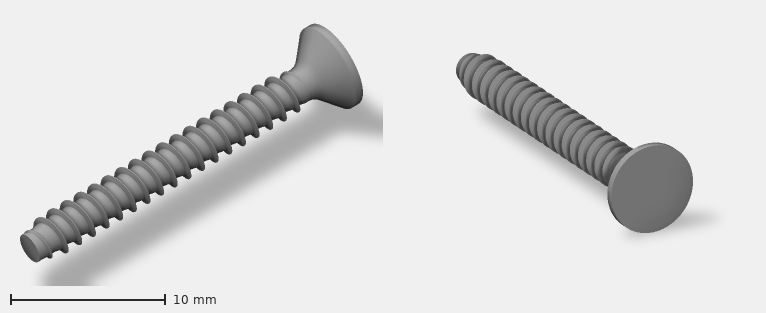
import cadquery as cq
import math

screw_length = 25.0

head_radius = 3.0
rim_depth = 0.55
countersink_angle = math.radians(45)
neck_fillet = 1.25

neck_radius = 1.18
neck_length = 0.22
core_radius = 1.02
taper_length = 0.75

major_radius = 1.5
first_crest_depth = 4.28
last_crest_depth = 23.3
turns_between_crests = 17
pitch = (last_crest_depth - first_crest_depth) / turns_between_crests

crest_half_width = 0.02
base_half_width = 0.15
base_radius = 1.12
head_slope_reach = 0.35
tip_slope_reach = pitch - head_slope_reach
embed = 0.012
fade_depth = 0.05
root_radius = 0.9

thread_form = [
    (-head_slope_reach, root_radius),
    (-head_slope_reach, core_radius - embed),
    (-base_half_width, base_radius),
    (-crest_half_width, major_radius),
    (crest_half_width, major_radius),
    (base_half_width, base_radius),
    (tip_slope_reach - embed, core_radius - embed),
    (tip_slope_reach - embed, root_radius),
]

full_start = -0.25
full_end = turns_between_crests
run_in_turns = 1.0
run_out_turns = 1.5
thread_start = full_start - run_in_turns
thread_end = full_end + run_out_turns
points_per_turn = 24


def make_body():
    """Head and shank, revolved about the Y axis."""
    fillet_start_radius = neck_radius + neck_fillet * (1 - math.cos(countersink_angle))
    fillet_start = rim_depth + (head_radius - fillet_start_radius) / math.tan(countersink_angle)
    fillet_end = fillet_start + neck_fillet * math.sin(countersink_angle)
    half_angle = countersink_angle / 2
    fillet_mid_radius = neck_radius + neck_fillet * (1 - math.cos(half_angle))
    fillet_mid = fillet_end - neck_fillet * math.sin(half_angle)
    neck_end = fillet_end + neck_length

    return (
        cq.Workplane("XY")
        .lineTo(head_radius, 0)
        .lineTo(head_radius, -rim_depth)
        .lineTo(fillet_start_radius, -fillet_start)
        .threePointArc((fillet_mid_radius, -fillet_mid), (neck_radius, -fillet_end))
        .lineTo(neck_radius, -neck_end)
        .lineTo(core_radius, -(neck_end + taper_length))
        .lineTo(core_radius, -screw_length)
        .lineTo(0, -screw_length)
        .close()
        .revolve(360, (0, 0, 0), (0, 1, 0))
    )


def faded_radius(radius, turn):
    """Radius of a thread form point, fading evenly into the shank along the run-in and run-out."""
    if turn < full_start:
        share = (full_start - turn) / run_in_turns
        faded = min(radius, neck_radius - fade_depth)
    elif turn > full_end:
        share = (turn - full_end) / run_out_turns
        faded = min(radius, core_radius - fade_depth)
    else:
        return radius
    return radius + share * (faded - radius)


def helix_point(turn, offset, radius):
    """Point on the helix; the turn runs from +Z through -X while moving towards the tip."""
    angle = 2 * math.pi * turn
    depth = first_crest_depth + pitch * turn + offset
    point_radius = faded_radius(radius, turn)
    return cq.Vector(-point_radius * math.sin(angle), -depth, point_radius * math.cos(angle))


def helix_edge(start, end, offset, radius):
    """Smooth edge that follows one thread form point between two turns."""
    steps = math.ceil((end - start) * points_per_turn)
    turns = [start + (end - start) * step / steps for step in range(steps + 1)]
    return cq.Edge.makeSpline([helix_point(turn, offset, radius) for turn in turns])


def make_span_faces(start, end):
    """Helical faces of the thread between two turns, one per side of the thread form."""
    edges = [helix_edge(start, end, offset, radius) for offset, radius in thread_form]
    next_edges = edges[1:] + edges[:1]
    return [cq.Face.makeRuledSurface(edge, follower) for edge, follower in zip(edges, next_edges)]


def make_end_cap(turn):
    """Flat face that closes the thread at one end."""
    corners = [helix_point(turn, offset, radius) for offset, radius in thread_form]
    return cq.Face.makeFromWires(cq.Wire.makePolygon(corners, close=True))


def make_thread():
    """Whole thread as one solid, with its full-height faces split at every turn."""
    full_joints = [full_start + turn for turn in range(math.ceil(full_end - full_start))]
    joints = [thread_start, *full_joints, full_end, thread_end]

    faces = [make_end_cap(thread_start), make_end_cap(thread_end)]
    for start, end in zip(joints, joints[1:]):
        faces += make_span_faces(start, end)
    return cq.Solid.makeSolid(cq.Shell.makeShell(faces))


envelope = cq.Workplane("XZ").circle(head_radius).extrude(screw_length)
result = make_body().union(make_thread()).intersect(envelope).solids()